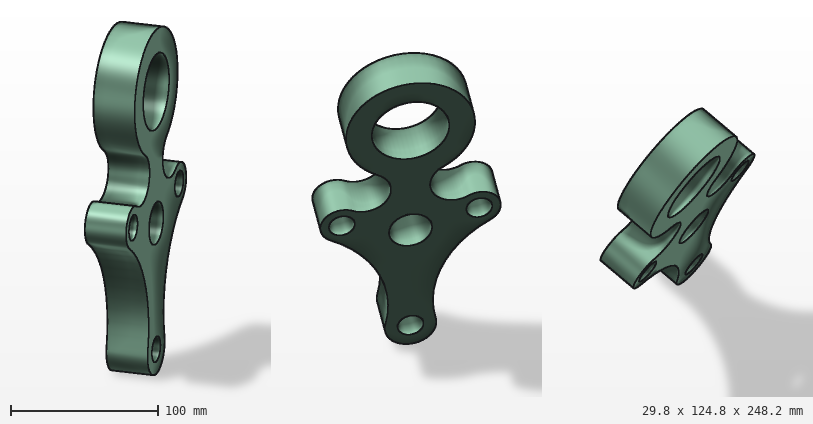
import cadquery as cq
import math

thickness = 29.8
overall_width = 124.8
overall_height = 248.2

ring_radius = 44.7
ring_bore_radius = 26.8
ring_height = 94.8
central_hole_radius = 15.0

ear_radius = 15.0
ear_height = 12.7
foot_radius = 17.9
pin_hole_radius = 9.0

flank_radius = 80.7

ring_center = (0, ring_height)
ear_center = (overall_width / 2 - ear_radius, ear_height)
foot_center = (0, ring_height + ring_radius - overall_height + foot_radius)


def concave_center(upper, upper_radius, lower, lower_radius, radius):
    """Centre, on the +Y side, of an arc that touches two circles from outside."""
    dy = lower[0] - upper[0]
    dz = lower[1] - upper[1]
    distance = math.hypot(dy, dz)
    to_upper = upper_radius + radius
    to_lower = lower_radius + radius
    along = (distance**2 + to_upper**2 - to_lower**2) / (2 * distance)
    across = math.sqrt(to_upper**2 - along**2)
    return (
        upper[0] + (along * dy - across * dz) / distance,
        upper[1] + (along * dz + across * dy) / distance,
    )


def point_toward(center, target, radius):
    """Point on a circle, in the direction of a target."""
    dy = target[0] - center[0]
    dz = target[1] - center[1]
    distance = math.hypot(dy, dz)
    return (center[0] + radius * dy / distance, center[1] + radius * dz / distance)


def arc_middle(center, start, end, radius):
    """Middle of the shorter arc between two points on a circle."""
    chord_middle = ((start[0] + end[0]) / 2, (start[1] + end[1]) / 2)
    return point_toward(center, chord_middle, radius)


def mirrored(point):
    return (-point[0], point[1])


flank_center = concave_center(ear_center, ear_radius, foot_center, foot_radius, flank_radius)
neck_top = point_toward(ring_center, ear_center, ring_radius)
neck_bottom = point_toward(ear_center, ring_center, ear_radius)
flank_top = point_toward(ear_center, flank_center, ear_radius)
flank_bottom = point_toward(foot_center, flank_center, foot_radius)

neck_center = ((neck_top[0] + neck_bottom[0]) / 2, (neck_top[1] + neck_bottom[1]) / 2)
neck_middle = (
    neck_center[0] - (neck_top[1] - neck_bottom[1]) / 2,
    neck_center[1] - (neck_bottom[0] - neck_top[0]) / 2,
)
flank_middle = arc_middle(flank_center, flank_top, flank_bottom, flank_radius)
ear_tip = (ear_center[0] + ear_radius, ear_center[1])
ring_top = (0, ring_height + ring_radius)
foot_bottom = (0, foot_center[1] - foot_radius)

plate = (
    cq.Workplane("YZ")
    .moveTo(*neck_top)
    .threePointArc(neck_middle, neck_bottom)
    .threePointArc(ear_tip, flank_top)
    .threePointArc(flank_middle, flank_bottom)
    .threePointArc(foot_bottom, mirrored(flank_bottom))
    .threePointArc(mirrored(flank_middle), mirrored(flank_top))
    .threePointArc(mirrored(ear_tip), mirrored(neck_bottom))
    .threePointArc(mirrored(neck_middle), mirrored(neck_top))
    .threePointArc(ring_top, neck_top)
    .close()
    .extrude(thickness)
)

ring_bore = cq.Workplane("YZ").center(*ring_center).circle(ring_bore_radius).extrude(thickness)
central_hole = cq.Workplane("YZ").circle(central_hole_radius).extrude(thickness)
pin_holes = (
    cq.Workplane("YZ")
    .pushPoints([ear_center, mirrored(ear_center), foot_center])
    .circle(pin_hole_radius)
    .extrude(thickness)
)

result = plate.cut(ring_bore).cut(central_hole).cut(pin_holes)